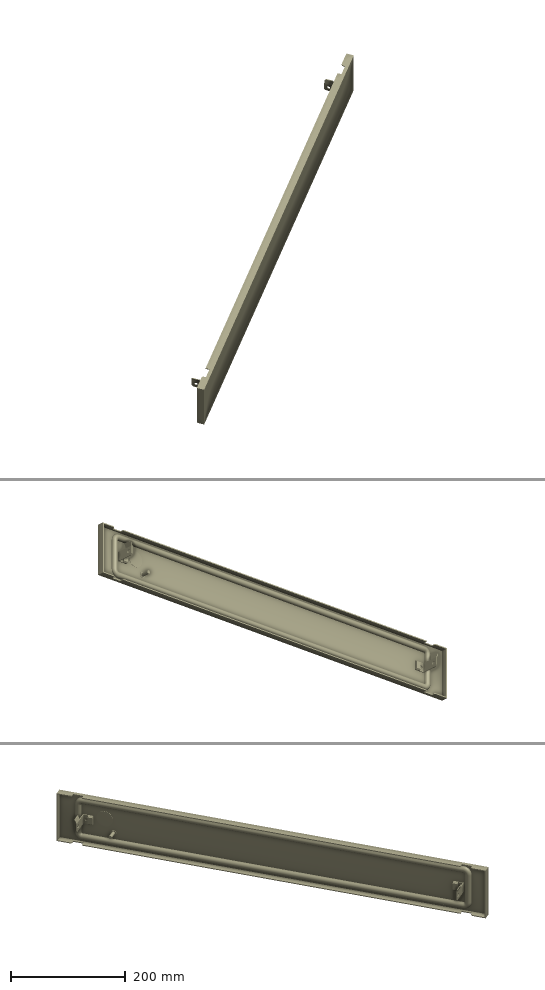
import cadquery as cq
import math

length = 795.0
height = 96.0
tray_depth = 13.5
sheet = 1.9

notch_inner_y = 350.5
notch_outer_y = 370.0
notch_floor = 6.0
notch_chamfer = 2.0

gasket_radius = 6.0
gasket_corner_y = 353.0
gasket_corner_z = 28.0
gasket_inner_bend = 2.0

bracket_sheet = 1.5
bracket_inner_y = 351.0
bracket_half_height = 9.0
arm_length = 36.5
arm_corner = 2.0
arm_hole_radius = 3.0
arm_hole_from_tip = 8.0
foot_end_y = 343.0
foot_hole_y = 347.0
foot_hole_radius = 2.8
ear_length = 16.0
ear_rise = 8.0
ear_lean_angle = 21.0

block_end_y = 334.0
block_height = 5.0
block_chamfer = 2.0

plate_radius = 15.0
plate_thickness = 0.5
plate_y = 312.5
plate_z = 7.0

stud_radius = 3.0
stud_length = 17.0
stud_y = 296.5
stud_z = -18.0
washer_radius = 5.5
washer_thickness = 1.0

ENDS = (1, -1)


def slab(x_front, x_back, y_low, y_high, z_low, z_high):
    """Box between two X depths measured back from the front face, and Y and Z limits."""
    size = (x_back - x_front, y_high - y_low, z_high - z_low)
    return cq.Workplane("XY").box(*size, centered=False).translate((-x_back, y_low, z_low))


def inner_face(y, z):
    """Workplane on the inside of the sheet, facing -X, with its origin at (y, z)."""
    origin = cq.Vector(-sheet, y, z)
    return cq.Workplane(cq.Plane(origin, xDir=(0, -1, 0), normal=(-1, 0, 0)))


def make_notch(end):
    """Cutter through both long flanges, chamfered at its outer mouth."""
    mouth_y = notch_outer_y + notch_chamfer
    profile = [
        (-notch_floor, notch_inner_y),
        (-tray_depth, notch_inner_y),
        (-tray_depth, mouth_y),
        (notch_chamfer - tray_depth, notch_outer_y),
        (-notch_floor, notch_outer_y),
    ]
    points = [(x, end * y) for x, y in profile]
    return cq.Workplane("XY").polyline(points).close().extrude(height / 2, both=True)


def make_tray():
    tray = slab(0, tray_depth, -length / 2, length / 2, -height / 2, height / 2)
    tray = tray.faces("<X").shell(-sheet)
    for end in ENDS:
        tray = tray.cut(make_notch(end))
    return tray


def make_gasket():
    """Half-disc section swept round a rectangle with rounded corners."""
    bend = gasket_inner_bend + gasket_radius
    half_y = gasket_corner_y + bend
    half_z = gasket_corner_z + bend
    outline = inner_face(0, 0).rect(2 * half_y, 2 * half_z).extrude(gasket_radius)
    path = cq.Workplane(outline.edges("|X").fillet(bend).faces(">X").wires().val())
    section = (
        cq.Workplane("XZ")
        .moveTo(-sheet, half_z - gasket_radius)
        .threePointArc((-sheet - gasket_radius, half_z), (-sheet, half_z + gasket_radius))
        .close()
    )
    return section.sweep(path)


def at_end(solid, end):
    """The +Y solid itself, or its mirror image for the -Y end."""
    return solid if end > 0 else solid.mirror("XZ")


def make_foot():
    foot_back = sheet + bracket_sheet
    foot = slab(sheet, foot_back, foot_end_y, bracket_inner_y, -bracket_half_height, bracket_half_height)
    hole = inner_face(foot_hole_y, 0).circle(foot_hole_radius).extrude(bracket_sheet)
    return foot.cut(hole)


def make_arm():
    tip = sheet + arm_length
    outer_y = bracket_inner_y + bracket_sheet
    arm = slab(sheet, tip, bracket_inner_y, outer_y, -bracket_half_height, bracket_half_height)
    arm = arm.edges("|Y and <X and <Z").chamfer(arm_corner)
    hole = (
        cq.Workplane("XZ", origin=(arm_hole_from_tip - tip, bracket_inner_y, 0))
        .circle(arm_hole_radius)
        .extrude(-bracket_sheet)
    )
    return arm.cut(hole)


def make_ear():
    """Leaning strip along the top of the arm, its upper outer corner cut off."""
    tip = -sheet - arm_length
    outer_y = bracket_inner_y + bracket_sheet
    ear_top = bracket_half_height + ear_rise
    lean = ear_rise * math.tan(math.radians(ear_lean_angle))
    ear = (
        cq.Workplane("YZ", origin=(tip, 0, 0))
        .moveTo(bracket_inner_y, bracket_half_height)
        .lineTo(outer_y, bracket_half_height)
        .lineTo(outer_y + lean, ear_top)
        .lineTo(bracket_inner_y + lean, ear_top)
        .close()
        .extrude(ear_length)
    )
    corner = (
        cq.Workplane("XZ")
        .moveTo(tip, ear_top)
        .lineTo(tip + arm_corner, ear_top)
        .lineTo(tip, ear_top - arm_corner)
        .close()
        .extrude(-length / 2)
    )
    return ear.cut(corner)


def make_bracket(end):
    return at_end(make_arm().union(make_foot()).union(make_ear()), end)


def make_block(end):
    back = sheet + block_height
    block = slab(sheet, back, block_end_y, foot_end_y, -bracket_half_height, bracket_half_height)
    return at_end(block.edges("|Y and <X").chamfer(block_chamfer), end)


def make_plate():
    return inner_face(plate_y, plate_z).circle(plate_radius).extrude(plate_thickness)


def make_stud():
    return inner_face(stud_y, stud_z).circle(stud_radius).extrude(stud_length)


def make_washer():
    return inner_face(stud_y, stud_z).circle(washer_radius).circle(stud_radius).extrude(washer_thickness)


tray = make_tray()
gasket = make_gasket()
brackets = [make_bracket(end) for end in ENDS]
blocks = [make_block(end) for end in ENDS]
plate = make_plate()
stud = make_stud()
washer = make_washer()

result = cq.Compound.makeCompound([
    tray.val(),
    gasket.val(),
    *[bracket.val() for bracket in brackets],
    *[block.val() for block in blocks],
    plate.val(),
    stud.val(),
    washer.val(),
])